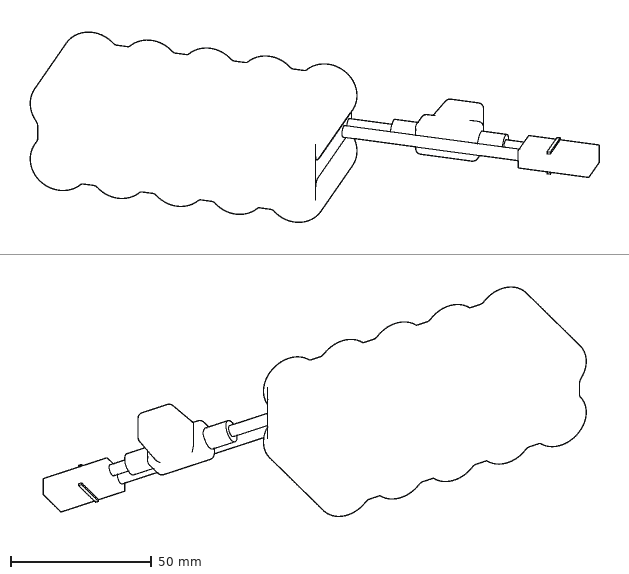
import cadquery as cq
import math

pack_height = 44.0
pack_depth = 44.0
cell_count = 5
edge_round = 2.8
side_valley_depth = 3.8
side_valley_round = 1.4
end_valley_depth = 2.8
end_valley_round = 4.0

cell_radius = pack_height / 4
cell_pitch = 22.0
pack_length = (cell_count - 1) * cell_pitch + 2 * cell_radius
row_height = cell_radius
end_plate_x = pack_length - end_valley_depth

wire_diameter = 4.2
wire_gap = 1.8
cable_y = 37.5
wire_offset = (wire_diameter + wire_gap) / 2
fuse_wire_y = cable_y + wire_offset
plain_wire_y = cable_y - wire_offset

fuse_x = 144.6
fuse_top_y = 60.0
fuse_base_length = 23.3
fuse_base_width = 10.4
fuse_thickness = 12.5
fuse_round = 2.2
blade_root_length = 16.4
blade_tip_length = 14.4
sleeve_length = 41.7
sleeve_diameter = 8.0

plug_end_x = 199.5
plug_length = 26.5
plug_width = 13.0
plug_height = 7.2
plug_round = 0.4
rib_width = 1.2
rib_height = 0.8
rib_from_wire_end = 11.4
plug_start_x = plug_end_x - plug_length


def valley_points(depth, blend_radius, pitch):
    """Half of a valley between two cells, as (along, out) distances from the point midway between the cells.

    Returns where the blend leaves the cell, the middle of the blend arc, and where it meets the flat.
    """
    floor = cell_radius - depth
    centre_out = floor + blend_radius
    centre_reach = math.sqrt((cell_radius + blend_radius) ** 2 - centre_out ** 2)
    centre_along = pitch / 2 - centre_reach
    tangent_angle = math.atan2(centre_out, centre_reach)

    def on_blend(angle):
        return (
            centre_along + blend_radius * math.cos(angle),
            centre_out - blend_radius * math.sin(angle),
        )

    middle_angle = (tangent_angle + math.pi / 2) / 2
    return on_blend(tangent_angle), on_blend(middle_angle), on_blend(math.pi / 2)


def cell_flank(cell_x, end_point):
    """Point on a cell's circle halfway between its crest and the given point on that circle."""
    angle = math.atan2(end_point[0] - cell_x, end_point[1] - row_height) / 2
    return cell_x + cell_radius * math.sin(angle), row_height + cell_radius * math.cos(angle)


def pack_outline():
    """Scalloped outline: the upper half, from the far end to the wire end, and its mirror image."""
    first_x = cell_radius
    last_x = pack_length - cell_radius
    diagonal = cell_radius * math.sqrt(0.5)
    crest_z = row_height + cell_radius
    step_z = row_height - math.sqrt(cell_radius ** 2 - (end_plate_x - last_x) ** 2)

    end_valley = valley_points(end_valley_depth, end_valley_round, 2 * row_height)
    leave, middle, flat = [(first_x - out, along) for along, out in end_valley]
    outline = cq.Workplane("XZ").moveTo(flat[0], 0).lineTo(*flat).threePointArc(middle, leave)
    outline = outline.threePointArc((first_x - diagonal, row_height + diagonal), (first_x, crest_z))

    side_valley = valley_points(side_valley_depth, side_valley_round, cell_pitch)
    for index in range(cell_count - 1):
        valley_x = first_x + (index + 0.5) * cell_pitch
        left_leave, left_middle, left_flat = [
            (valley_x - along, row_height + out) for along, out in side_valley
        ]
        leave, middle, flat = [(valley_x + along, row_height + out) for along, out in side_valley]
        outline = outline.threePointArc(cell_flank(valley_x - cell_pitch / 2, left_leave), left_leave)
        outline = outline.threePointArc(left_middle, left_flat)
        outline = outline.lineTo(*flat)
        outline = outline.threePointArc(middle, leave)
        outline = outline.threePointArc(
            cell_flank(valley_x + cell_pitch / 2, leave), (valley_x + cell_pitch / 2, crest_z)
        )

    outline = outline.threePointArc((last_x + diagonal, row_height + diagonal), (end_plate_x, step_z))
    return outline.lineTo(end_plate_x, 0).mirrorX()


def make_battery_pack():
    pack = pack_outline().extrude(-pack_depth).clean()
    pack = pack.faces("<Y or >Y").edges().fillet(edge_round)
    plate_length = cell_radius
    end_plate = cq.Workplane("XY").box(
        plate_length, pack_depth, 2 * row_height, centered=(False, False, True)
    )
    return pack.union(end_plate.translate((end_plate_x - plate_length, 0, 0)))


def rod(start_x, length, diameter, y):
    return cq.Workplane("YZ", origin=(start_x, y, 0)).circle(diameter / 2).extrude(length)


def make_fuse_holder():
    """T-shaped block with a tapered blade and a sleeve for the wire."""
    base_bottom = fuse_wire_y - fuse_base_width / 2
    base_top = fuse_wire_y + fuse_base_width / 2
    half_base = fuse_base_length / 2
    half_root = blade_root_length / 2
    half_tip = blade_tip_length / 2
    block = (
        cq.Workplane("XY", origin=(fuse_x, 0, -fuse_thickness / 2))
        .moveTo(-half_base, base_bottom)
        .lineTo(half_base, base_bottom)
        .lineTo(half_base, base_top)
        .lineTo(half_root, base_top)
        .lineTo(half_tip, fuse_top_y)
        .lineTo(-half_tip, fuse_top_y)
        .lineTo(-half_root, base_top)
        .lineTo(-half_base, base_top)
        .close()
        .extrude(fuse_thickness)
    )
    inner_corners = cq.selectors.BoxSelector(
        (fuse_x - half_root - fuse_round, base_top - fuse_round, -fuse_thickness),
        (fuse_x + half_root + fuse_round, base_top + fuse_round, fuse_thickness),
    )
    outer_corners = cq.StringSyntaxSelector("|Z") - inner_corners
    block = block.edges(outer_corners).fillet(fuse_round)
    block = block.faces("<Z or >Z").edges().fillet(fuse_round)
    return block.union(rod(fuse_x - sleeve_length / 2, sleeve_length, sleeve_diameter, fuse_wire_y))


def make_cable():
    """Both wires and the fuse holder, whose base is moulded around them."""
    cable = make_fuse_holder()
    for wire_y in (fuse_wire_y, plain_wire_y):
        cable = cable.union(rod(end_plate_x, plug_start_x - end_plate_x, wire_diameter, wire_y))
    return cable


def make_plug():
    plug = (
        cq.Workplane("XY", origin=(plug_start_x + plug_length / 2, cable_y, 0))
        .box(plug_length, plug_width, plug_height)
        .edges()
        .fillet(plug_round)
    )
    rib_length = plug_width - 2 * plug_round
    ribs = cq.Workplane("XY", origin=(plug_start_x + rib_from_wire_end, cable_y, 0)).box(
        rib_width, rib_length, plug_height + 2 * rib_height
    )
    return plug.union(ribs)


battery_pack = make_battery_pack()
cable = make_cable()
plug = make_plug()

result = cq.Compound.makeCompound([battery_pack.val(), cable.val(), plug.val()])